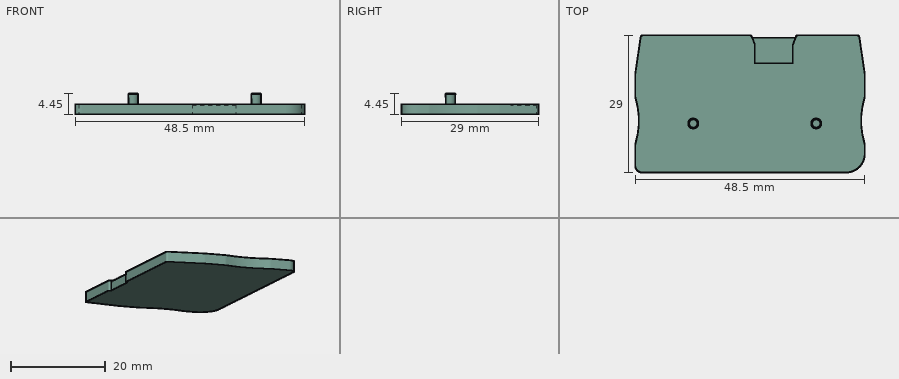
import cadquery as cq

LENGTH = 48.5
WIDTH = 29.0
THICKNESS = 2.2
HALF_LENGTH = LENGTH / 2
BACK = WIDTH / 2
FRONT = -BACK
BACK_HALF_LENGTH = 23.05
TAPER_START = BACK - 8.25
BACK_CORNER_RADIUS = 0.5
LEFT_CORNER_RADIUS = 1.55
RIGHT_CORNER_RADIUS = 4.03

END_EDGE_RADIUS = 1.45

SCALLOP_Y = -3.55
SCALLOP_HALF_CHORD = 5.0
SCALLOP_DEPTH = 0.8

RECESS_X = 5.05
RECESS_HALF_WIDTH = 4.03
RECESS_REACH = 5.9
RECESS_DEPTH = 0.25
FLARE_REACH = 2.0
FLARE_SPREAD = 0.75
FLARE_EDGE_RADIUS = 0.4
LIP_SETBACK = 0.5

PIN_XS = (-12.0, 13.95)
PIN_Y = -4.1
PIN_HEIGHT = 2.25
PIN_BASE_RADIUS = 1.0
PIN_TOP_RADIUS = 1.05
PIN_CHAMFER = 0.2


def make_plate():
    """Plate with tapered back corners, scalloped ends and rounded corners."""
    scallop_back = SCALLOP_Y + SCALLOP_HALF_CHORD
    scallop_front = SCALLOP_Y - SCALLOP_HALF_CHORD
    scallop_x = HALF_LENGTH - SCALLOP_DEPTH
    plate = (
        cq.Workplane("XY")
        .moveTo(-HALF_LENGTH, FRONT)
        .lineTo(HALF_LENGTH, FRONT)
        .lineTo(HALF_LENGTH, scallop_front)
        .threePointArc((scallop_x, SCALLOP_Y), (HALF_LENGTH, scallop_back))
        .lineTo(HALF_LENGTH, TAPER_START)
        .lineTo(BACK_HALF_LENGTH, BACK)
        .lineTo(-BACK_HALF_LENGTH, BACK)
        .lineTo(-HALF_LENGTH, TAPER_START)
        .lineTo(-HALF_LENGTH, scallop_back)
        .threePointArc((-scallop_x, SCALLOP_Y), (-HALF_LENGTH, scallop_front))
        .close()
        .extrude(THICKNESS)
    )
    plate = plate.edges("|Z and >Y").fillet(BACK_CORNER_RADIUS)
    plate = round_upright_edge(plate, -HALF_LENGTH, FRONT, LEFT_CORNER_RADIUS)
    plate = round_upright_edge(plate, HALF_LENGTH, FRONT, RIGHT_CORNER_RADIUS)
    for x in (-HALF_LENGTH, HALF_LENGTH):
        for y in (scallop_front, scallop_back, TAPER_START):
            plate = round_upright_edge(plate, x, y, END_EDGE_RADIUS)
    return plate


def round_upright_edge(body, x, y, radius):
    """Round the vertical edge nearest to the given corner."""
    corner = cq.selectors.NearestToPointSelector((x, y, THICKNESS / 2))
    return body.edges("|Z").edges(corner).fillet(radius)


def make_recess_cutter():
    """Flared recess, shallow over its floor and full depth at the back lip."""
    inner_y = BACK - RECESS_REACH
    flare_y = BACK - FLARE_REACH
    left = RECESS_X - RECESS_HALF_WIDTH
    right = RECESS_X + RECESS_HALF_WIDTH

    outline = (
        cq.Workplane("XY")
        .moveTo(left, inner_y)
        .lineTo(right, inner_y)
        .lineTo(right, flare_y)
        .lineTo(right + FLARE_SPREAD, BACK)
        .lineTo(left - FLARE_SPREAD, BACK)
        .lineTo(left, flare_y)
        .close()
        .extrude(THICKNESS)
    )
    floor = (
        cq.Workplane("XY")
        .box(LENGTH, WIDTH, THICKNESS - RECESS_DEPTH, centered=(True, True, False))
        .translate((0, -LIP_SETBACK, 0))
    )
    return outline.cut(floor)


def round_recess_mouth(body):
    """Round the two upright edges where the flare meets the back edge."""
    mouth_half_width = RECESS_HALF_WIDTH + FLARE_SPREAD
    for x in (RECESS_X - mouth_half_width, RECESS_X + mouth_half_width):
        body = round_upright_edge(body, x, BACK, FLARE_EDGE_RADIUS)
    return body


def make_pin(x):
    """Flared pin with a chamfered top, standing on the plate."""
    shoulder = THICKNESS + PIN_HEIGHT - PIN_CHAMFER
    return (
        cq.Workplane("XZ")
        .moveTo(0, 0)
        .lineTo(PIN_BASE_RADIUS, 0)
        .lineTo(PIN_BASE_RADIUS, THICKNESS)
        .lineTo(PIN_TOP_RADIUS, shoulder)
        .lineTo(PIN_TOP_RADIUS - PIN_CHAMFER, shoulder + PIN_CHAMFER)
        .lineTo(0, shoulder + PIN_CHAMFER)
        .close()
        .revolve(360, (0, 0, 0), (0, 1, 0))
        .translate((x, PIN_Y, 0))
    )


result = round_recess_mouth(make_plate().cut(make_recess_cutter()))
for pin_x in PIN_XS:
    result = result.union(make_pin(pin_x))